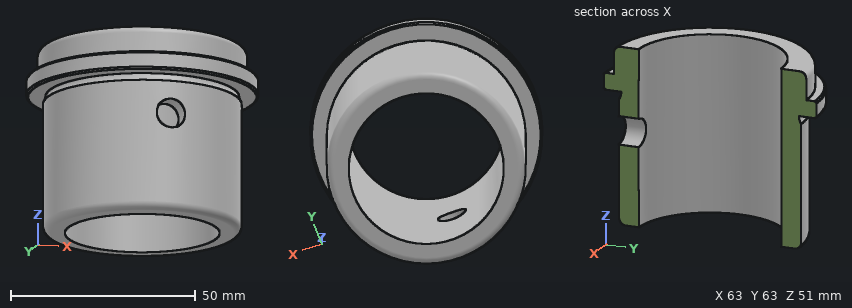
import cadquery as cq

flange_diameter = 63.0
collar_diameter = 57.0
body_diameter = 54.0
neck_diameter = 52.65
bore_diameter = 42.0

total_height = 51.0
collar_height = 8.0
flange_thickness = 5.0
neck_height = 2.0
flange_top = total_height - collar_height
flange_bottom = flange_top - flange_thickness
body_top = flange_bottom - neck_height

neck_step = (body_diameter - neck_diameter) / 2
neck_arc_radius = (neck_height**2 + neck_step**2) / (2 * neck_step)

rim_radius = 2.0
flange_chamfer = 0.5

hole_diameter = 8.0
hole_height = 27.0


def disc(diameter, bottom, top):
    """Solid cylinder about the Z axis between two heights."""
    return cq.Workplane("XY").workplane(offset=bottom).circle(diameter / 2).extrude(top - bottom)


body = disc(body_diameter, 0, body_top).faces("<Z").edges().fillet(rim_radius)
flange = disc(flange_diameter, flange_bottom, flange_top).faces("<Z or >Z").edges().chamfer(flange_chamfer)
collar = disc(collar_diameter, flange_top, total_height).faces(">Z").edges().fillet(rim_radius)
bore = disc(bore_diameter, 0, total_height)

neck = (
    cq.Workplane("XZ")
    .moveTo(0, body_top)
    .lineTo(body_diameter / 2, body_top)
    .radiusArc((neck_diameter / 2, flange_bottom), neck_arc_radius)
    .lineTo(0, flange_bottom)
    .close()
    .revolve(360, (0, 0, 0), (0, 1, 0))
)

hole = (
    cq.Workplane("XZ")
    .center(0, hole_height)
    .circle(hole_diameter / 2)
    .extrude(flange_diameter / 2)
)

result = body.union(neck).union(flange).union(collar).cut(bore).cut(hole)